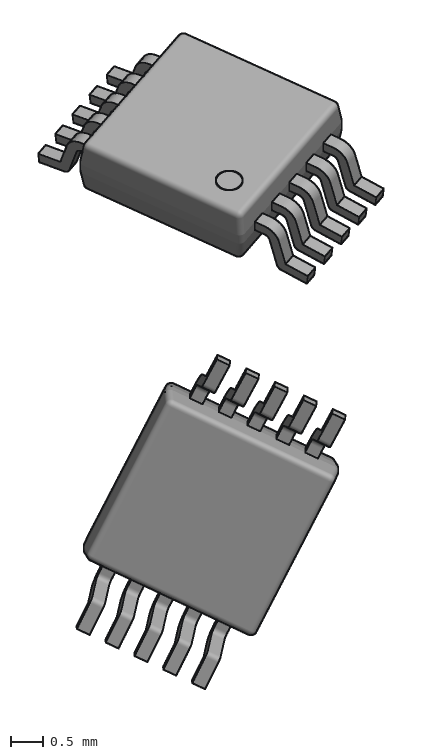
import cadquery as cq
import math

overall_span = 4.94
overall_height = 1.27

body_side = 3.0
body_height = 1.005
draft_angle = 7.0
edge_radius = 0.1

mark_outer_radius = 0.21
mark_width = 0.01
mark_offset = 0.9
mark_depth = 0.0025

lead_count = 5
lead_pitch = 0.5
lead_width = 0.22
lead_thickness = 0.185
lead_embed = 0.1
shoulder_x = 1.885
shoulder_inner_radius = 0.1
heel_radius = 0.1
leg_lean = math.radians(15.5)
foot_tilt = math.radians(6.0)

cap_height = (body_height - lead_thickness) / 2
band_top = overall_height - cap_height
band_bottom = band_top - lead_thickness


def make_body():
    """Rounded block whose side walls lean inward above and below the band."""
    band = (
        cq.Workplane("XY", origin=(0, 0, band_bottom))
        .rect(body_side, body_side)
        .extrude(lead_thickness)
    )
    upper = (
        cq.Workplane("XY", origin=(0, 0, band_top))
        .rect(body_side, body_side)
        .extrude(cap_height, taper=draft_angle)
    )
    lower = upper.mirror("XY", (0, 0, (band_top + band_bottom) / 2))
    block = band.union(upper).union(lower)
    upright_edges = block.edges("not(#Z)")
    end_edges = block.faces("<Z or >Z").edges()
    return block.newObject(upright_edges.vals() + end_edges.vals()).fillet(edge_radius)


def make_lead():
    """Gull-wing lead on the +X side, centred on Y = 0."""
    tip_x = overall_span / 2
    tip_z = lead_thickness * math.cos(foot_tilt)
    rise_at_shoulder = (tip_x - shoulder_x) * math.tan(foot_tilt)
    leg_slope_gap = 1 / math.tan(leg_lean) - math.tan(foot_tilt)
    knee_run = (band_top - tip_z - rise_at_shoulder) / leg_slope_gap
    knee_x = shoulder_x + knee_run
    knee_z = tip_z + (tip_x - knee_x) * math.tan(foot_tilt)

    shoulder_half_turn = (math.pi / 2 - leg_lean) / 2
    inner_x = shoulder_x - lead_thickness * math.tan(shoulder_half_turn)
    heel_half_turn = (math.pi / 2 - leg_lean - foot_tilt) / 2
    mitre_length = lead_thickness / math.cos(heel_half_turn)
    mitre_angle = foot_tilt + heel_half_turn
    heel_x = knee_x - mitre_length * math.sin(mitre_angle)
    heel_z = knee_z - mitre_length * math.cos(mitre_angle)

    root_x = body_side / 2 - lead_embed
    outline = [
        (root_x, band_top),
        (shoulder_x, band_top),
        (knee_x, knee_z),
        (tip_x, tip_z),
        (tip_x - lead_thickness * math.sin(foot_tilt), 0),
        (heel_x, heel_z),
        (inner_x, band_bottom),
        (root_x, band_bottom),
    ]
    lead = cq.Workplane("XZ").polyline(outline).close().extrude(lead_width / 2, both=True)

    bends = [
        (shoulder_x, band_top, shoulder_inner_radius + lead_thickness),
        (inner_x, band_bottom, shoulder_inner_radius),
        (heel_x, heel_z, heel_radius),
    ]
    for x, z, radius in bends:
        lead = lead.edges(cq.selectors.NearestToPointSelector((x, 0, z))).fillet(radius)
    return lead


def add_leads(part):
    """Row of leads on the +X side and its mirror image on the -X side."""
    lead = make_lead()
    opposite_lead = lead.mirror("YZ")
    for index in range(lead_count):
        y = (index - (lead_count - 1) / 2) * lead_pitch
        part = part.union(lead.translate((0, y, 0)))
        part = part.union(opposite_lead.translate((0, y, 0)))
    return part


def cut_mark(part):
    """Shallow engraved ring near the +X -Y corner of the top face."""
    mark = (
        cq.Workplane("XY", origin=(mark_offset, -mark_offset, overall_height))
        .circle(mark_outer_radius)
        .circle(mark_outer_radius - mark_width)
        .extrude(-mark_depth)
    )
    return part.cut(mark)


result = cut_mark(add_leads(make_body()))